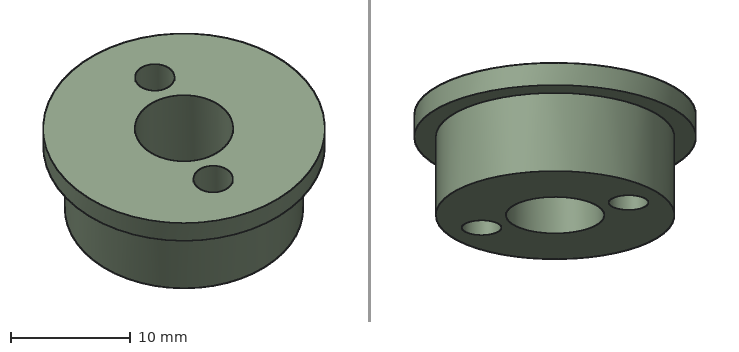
import cadquery as cq

flange_diameter = 23.5
flange_thickness = 2.0
body_diameter = 19.9
total_height = 9.0
bore_diameter = 8.2
pin_hole_diameter = 3.3
pin_hole_spacing = 13.5

body_height = total_height - flange_thickness


def make_bushing():
    """Round body standing on Z = 0 with a wider flange on top."""
    body = cq.Workplane("XY").circle(body_diameter / 2).extrude(body_height)
    flange = (
        cq.Workplane("XY")
        .workplane(offset=body_height)
        .circle(flange_diameter / 2)
        .extrude(flange_thickness)
    )
    return body.union(flange)


def make_through_hole(diameter, x_position):
    """Cylinder over the full height, used to cut a hole centred on the X axis."""
    return (
        cq.Workplane("XY")
        .center(x_position, 0)
        .circle(diameter / 2)
        .extrude(total_height)
    )


result = make_bushing().cut(make_through_hole(bore_diameter, 0))

for side in (-1, 1):
    result = result.cut(make_through_hole(pin_hole_diameter, side * pin_hole_spacing / 2))